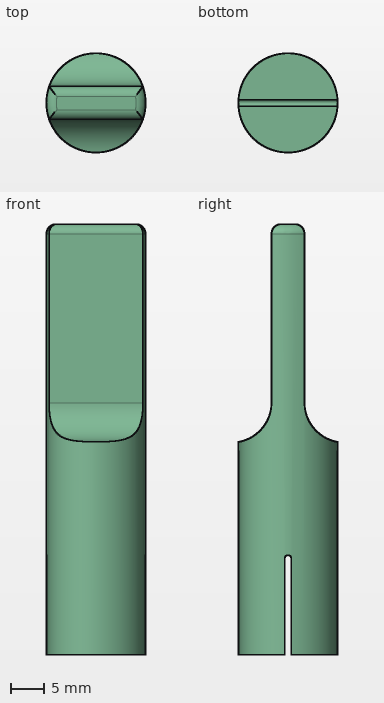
import cadquery as cq
import math

length = 65.0
diameter = 15.0
blade_thickness = 5.0
blade_start = 38.0
cove_radius = 6.0
tip_radius = 1.5
slot_width = 1.0
slot_height = 15.0

radius = diameter / 2
half_thickness = blade_thickness / 2
cutter_reach = diameter


def cove_point(y):
    """Point on the cove arc at distance y from the blade mid-plane."""
    from_center = half_thickness + cove_radius - y
    drop = math.sqrt(cove_radius**2 - from_center**2)
    return y, blade_start - drop


def side_cutter():
    """Material beside the +Y blade face, including the cove below it."""
    outer = cove_point(radius)
    middle = cove_point((half_thickness + radius) / 2)
    return (
        cq.Workplane("YZ")
        .moveTo(half_thickness, length)
        .lineTo(half_thickness, blade_start)
        .threePointArc(middle, outer)
        .lineTo(cutter_reach, outer[1])
        .lineTo(cutter_reach, length)
        .close()
        .extrude(radius, both=True)
    )


def slot_cutter():
    """Round-topped slot passing through the shank along X."""
    half_width = slot_width / 2
    arc_start = slot_height - half_width
    return (
        cq.Workplane("YZ")
        .moveTo(-half_width, 0)
        .lineTo(-half_width, arc_start)
        .threePointArc((0, slot_height), (half_width, arc_start))
        .lineTo(half_width, 0)
        .close()
        .extrude(cutter_reach, both=True)
    )


shank = cq.Workplane("XY").circle(radius).extrude(length)
front_and_back = side_cutter().union(side_cutter().mirror("XZ"))
blade = shank.cut(front_and_back)

blade = blade.faces(">Z").edges().fillet(tip_radius)

result = blade.cut(slot_cutter())